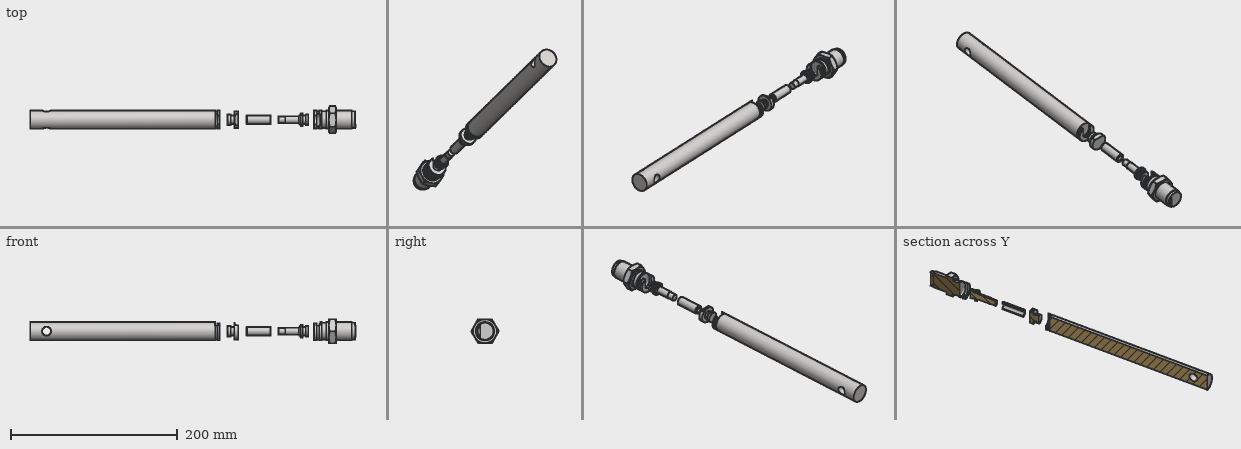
import cadquery as cq
import math


barrel_radius = 11.1
relief_depth = 0.8
tail_radius = 6.4
neck_radius = 5.2
tail_clearance = 1.4
neck_clearance = 0.2

rod_length = 227.0
rod_lip = 2.7
rod_relief_width = 2.8
cross_hole_x = 19.7
cross_hole_diameter = 10.5

coupling_start = 236.3
coupling_tail = 4.1
coupling_neck = 3.9
coupling_disc = 5.2
coupling_radius = 10.0
coupling_wall = 1.0
flat_height = 7.2
flat_fillet = 2.4

tube_start = 258.7
tube_length = 29.4
tube_radius = 5.3
tube_bore_radius = 3.0
tube_chamfer_length = 1.2
tube_chamfer_depth = 0.4

pin_start = 297.4
tip_length = 8.0
tip_radius = 4.0
stem_length = 16.5
stem_radius = 4.4
cone_length = 2.1
cone_radius = 6.9
ring_width = 2.5
ring_radius = 7.7
pin_neck = 3.5
pin_tail = 3.2

housing_start = 339.9
housing_lip = 3.4
housing_relief_width = 3.2
housing_slot_width = 4.2
slot_fillet = 2.0
land_length = 2.9
seal_groove_length = 5.6
seal_groove_radius = 10.2
shoulder_length = 2.9
hex_length = 8.6
hex_width_y = 33.02
hex_tilt = 1.2
hex_chamfer_angle = 30.0
sleeve_length = 18.8

plug_radius = 10.2
plug_end = 389.2
tab_end = 390.25
tab_radius = 8.8
tab_flat_y = -5.8


def cylinder(start, length, radius):
    return cq.Workplane("YZ").workplane(offset=start).circle(radius).extrude(length)


def turned(outline):
    """Revolve an (x, radius) outline around the X axis."""
    return cq.Workplane("XZ").polyline(outline).close().revolve(360, (0, 0, 0), (1, 0, 0))


def stepped_shaft(start, steps):
    """Stack coaxial cylinders, given as (length, radius), along +X."""
    outline = [(start, 0)]
    x = start
    for length, radius in steps:
        outline.append((x, radius))
        x += length
        outline.append((x, radius))
    outline.append((x, 0))
    return turned(outline)


def u_slot(start, length, radius):
    """Cutter for a slot open towards +Z with a round floor centred on the axis."""
    opening = (
        cq.Workplane("YZ").workplane(offset=start)
        .center(0, barrel_radius).rect(2 * radius, 2 * barrel_radius).extrude(length)
    )
    return cylinder(start, length, radius).union(opening)


neck_slot_radius = neck_radius + neck_clearance
tail_slot_radius = tail_radius + tail_clearance
relief_radius = barrel_radius - relief_depth


def make_rod():
    shoulder_x = rod_length - rod_lip - rod_relief_width
    rod = stepped_shaft(0, [
        (shoulder_x, barrel_radius),
        (rod_relief_width, relief_radius),
        (rod_lip, barrel_radius),
    ])
    rod = rod.cut(u_slot(shoulder_x, rod_relief_width, tail_slot_radius))
    rod = rod.cut(u_slot(rod_length - rod_lip, rod_lip, neck_slot_radius))
    cross_hole = (
        cq.Workplane("XZ").center(cross_hole_x, 0)
        .circle(cross_hole_diameter / 2).extrude(barrel_radius, both=True)
    )
    return rod.cut(cross_hole)


def make_coupling():
    coupling = stepped_shaft(coupling_start, [
        (coupling_tail, tail_radius),
        (coupling_neck, neck_radius),
        (coupling_disc, coupling_radius),
    ])
    disc_start = coupling_start + coupling_tail + coupling_neck
    wall_x = disc_start + coupling_wall
    corner_reach = flat_fillet * (1 - math.cos(math.pi / 4))
    flat_cutter = (
        cq.Workplane("XZ")
        .moveTo(wall_x, coupling_radius)
        .lineTo(wall_x, flat_height + flat_fillet)
        .threePointArc(
            (wall_x + corner_reach, flat_height + corner_reach),
            (wall_x + flat_fillet, flat_height),
        )
        .lineTo(disc_start + coupling_disc, flat_height)
        .lineTo(disc_start + coupling_disc, coupling_radius)
        .close().extrude(coupling_radius, both=True)
    )
    return coupling.cut(flat_cutter)


def make_tube():
    """Straight tube with a slim chamfer around its -X end."""
    tube_end = tube_start + tube_length
    return turned([
        (tube_start, tube_bore_radius),
        (tube_start, tube_radius - tube_chamfer_depth),
        (tube_start + tube_chamfer_length, tube_radius),
        (tube_end, tube_radius),
        (tube_end, tube_bore_radius),
    ])


cone_start = pin_start + tip_length + stem_length
ring_start = cone_start + cone_length


def make_pin():
    """Stem with a conical shoulder, a seat for the seal ring and a tail flange."""
    stem = stepped_shaft(pin_start, [(tip_length, tip_radius), (stem_length, stem_radius)])
    cone = turned([
        (cone_start, 0),
        (cone_start, stem_radius),
        (ring_start, cone_radius),
        (ring_start, 0),
    ])
    tail = stepped_shaft(ring_start, [(ring_width + pin_neck, neck_radius), (pin_tail, tail_radius)])
    return stem.union(cone).union(tail)


def make_seal_ring():
    ring = cylinder(ring_start, ring_width, ring_radius)
    return ring.cut(cylinder(ring_start, ring_width, neck_radius))


relief_start = housing_start + housing_lip
land_start = relief_start + housing_relief_width
hex_start = land_start + land_length + seal_groove_length + shoulder_length
housing_end = hex_start + hex_length + sleeve_length


def make_hexagon():
    corner_radius = hex_width_y / 2 / math.cos(math.radians(hex_tilt))
    flat_radius = corner_radius * math.cos(math.pi / 6)
    hexagon = (
        cq.Workplane("YZ").workplane(offset=hex_start)
        .polygon(6, 2 * corner_radius).extrude(hex_length)
        .rotate((0, 0, 0), (1, 0, 0), hex_tilt)
    )
    chamfer_length = (corner_radius - flat_radius) * math.tan(math.radians(hex_chamfer_angle))
    hex_end = hex_start + hex_length
    envelope = turned([
        (hex_start, 0),
        (hex_start, flat_radius),
        (hex_start + chamfer_length, corner_radius),
        (hex_end - chamfer_length, corner_radius),
        (hex_end, flat_radius),
        (hex_end, 0),
    ])
    return hexagon.intersect(envelope)


def make_housing():
    housing = stepped_shaft(housing_start, [
        (housing_lip, barrel_radius),
        (housing_relief_width, relief_radius),
        (land_length, barrel_radius),
        (seal_groove_length, seal_groove_radius),
        (shoulder_length + hex_length + sleeve_length, barrel_radius),
    ])
    housing = housing.union(make_hexagon())
    housing = housing.cut(u_slot(housing_start, housing_lip, neck_slot_radius))
    wide_slot = u_slot(relief_start, housing_slot_width, tail_slot_radius)
    return housing.cut(wide_slot.faces(">X").edges().fillet(slot_fillet))


def make_end_plug():
    plug = cylinder(housing_end, plug_end - housing_end, plug_radius)
    tab = cylinder(housing_end, tab_end - housing_end, tab_radius)
    beyond_flat = (
        cq.Workplane("YZ").workplane(offset=housing_end)
        .center(tab_flat_y - tab_radius / 2, 0)
        .rect(tab_radius, 2 * tab_radius).extrude(tab_end - housing_end)
    )
    return plug.union(tab.intersect(beyond_flat))


rod = make_rod()
coupling = make_coupling()
tube = make_tube()
pin = make_pin()
seal_ring = make_seal_ring()
housing = make_housing()
end_plug = make_end_plug()

result = cq.Compound.makeCompound([
    rod.val(),
    coupling.val(),
    tube.val(),
    pin.val(),
    seal_ring.val(),
    housing.val(),
    end_plug.val(),
])